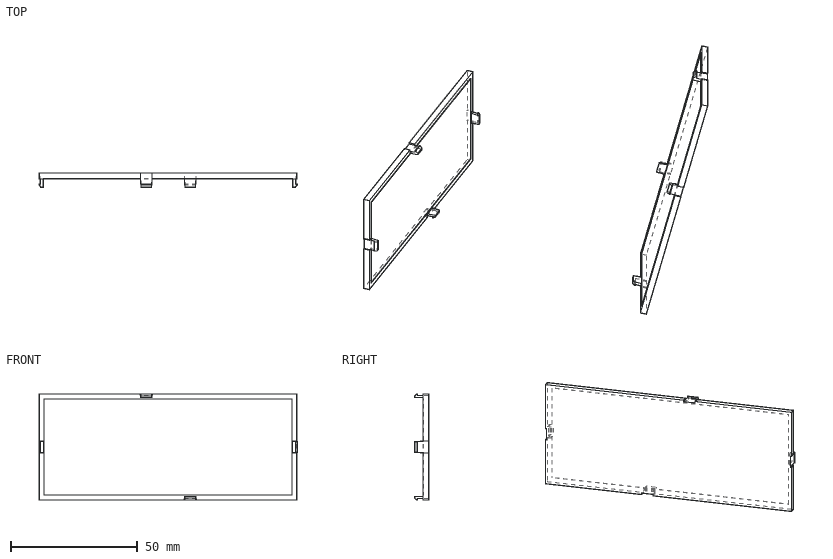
import cadquery as cq

overall_length = 102.0
panel_length = 101.8
panel_height = 42.0
overall_depth = 5.7
panel_thickness = 2.4
side_rim_width = 1.9
edge_rim_width = 2.0
recess_depth = 0.2

clip_width = 4.7
clip_tip_width = 4.2
clip_reach = overall_depth - panel_thickness
ledge_reach = 2.0
crest_reach = 2.3
tip_setback = 0.2
side_clip_inset = 0.4
side_clip_thickness = 1.2
edge_clip_inset = 0.6
edge_clip_thickness = 0.9
edge_hook_height = edge_clip_inset
edge_clip_offset = 8.7

panel_center_x = (panel_length - overall_length) / 2
right_hook_height = side_clip_inset + overall_length - panel_length


def make_panel():
    """Panel with a shallow recess inside its front rim."""
    panel = cq.Workplane("XY").box(panel_length, panel_thickness, panel_height)
    recess = (
        cq.Workplane("XY")
        .box(panel_length - 2 * side_rim_width, recess_depth, panel_height - 2 * edge_rim_width)
        .translate((0, (recess_depth - panel_thickness) / 2, 0))
    )
    return panel.cut(recess).translate((panel_center_x, 0, 0))


def make_clip(thickness, hook):
    """Clip with its outer face at X = 0, its hook toward +X and its root at Y = 0."""
    profile = [
        (-thickness, 0),
        (0, 0),
        (0, -ledge_reach),
        (hook, -ledge_reach),
        (hook, -crest_reach),
        (-tip_setback, -clip_reach),
        (-thickness, -clip_reach),
    ]
    body = cq.Workplane("XY").polyline(profile).close().extrude(clip_width / 2, both=True)
    taper_outline = [
        (0, -clip_width / 2),
        (0, clip_width / 2),
        (-clip_reach, clip_tip_width / 2),
        (-clip_reach, -clip_tip_width / 2),
    ]
    envelope = (
        cq.Workplane("YZ")
        .polyline(taper_outline)
        .close()
        .extrude(thickness + hook, both=True)
    )
    return body.intersect(envelope)


def make_notch(inset):
    """Cutter that carries the clip's outer face through the panel edge."""
    return cq.Workplane("XY").box(inset, panel_thickness, clip_width).translate(
        (inset / 2, panel_thickness / 2, 0)
    )


def add_clip(part, position, angle, inset, thickness, hook):
    """Notch the panel edge at position (X, Z) and add a clip facing outward."""
    x, z = position
    place = (x, -panel_thickness / 2, z)
    notch = make_notch(inset).rotate((0, 0, 0), (0, 1, 0), angle).translate(place)
    clip = make_clip(thickness, hook).rotate((0, 0, 0), (0, 1, 0), angle).translate(place)
    return part.cut(notch).union(clip)


side_face = panel_length / 2 - side_clip_inset
edge_face = panel_height / 2 - edge_clip_inset

clips = [
    ((panel_center_x + side_face, 0), 0, side_clip_inset, side_clip_thickness, right_hook_height),
    ((panel_center_x - side_face, 0), 180, side_clip_inset, side_clip_thickness, side_clip_inset),
    ((-edge_clip_offset, edge_face), -90, edge_clip_inset, edge_clip_thickness, edge_hook_height),
    ((edge_clip_offset, -edge_face), 90, edge_clip_inset, edge_clip_thickness, edge_hook_height),
]

result = make_panel()
for clip in clips:
    result = add_clip(result, *clip)